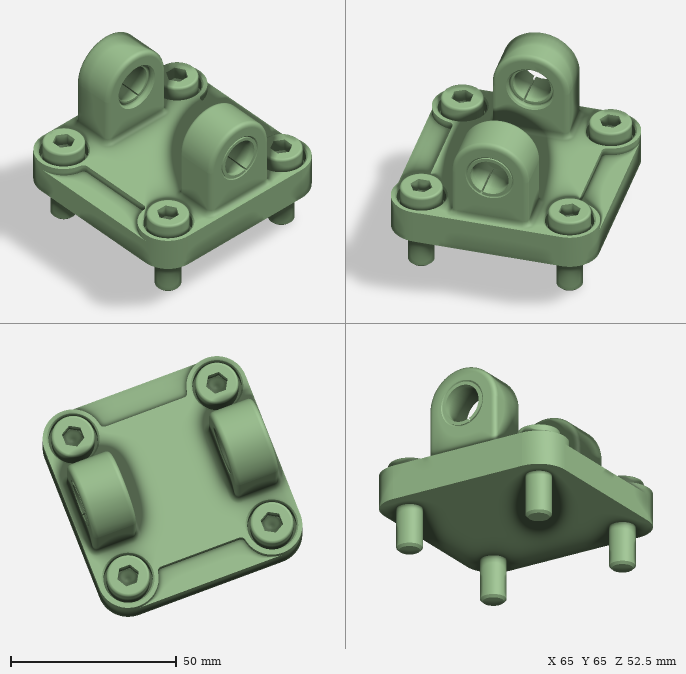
import cadquery as cq
import math

plate_size = 65.0
plate_height = 11.0
corner_radius = 9.2
screw_offset = plate_size / 2 - corner_radius

recess_depth = 2.5
recess_inner_y = 23.4
recess_corner_radius = 1.5

lug_inner_x = 16.0
lug_outer_x = 30.0
lug_radius = 12.0
lug_top_z = 39.0
lug_edge_fillet = 1.5
lug_foot_fillet = 1.5
pin_axis_z = lug_top_z - lug_radius

bushing_inner_radius = 6.0
bushing_outer_radius = 7.0
bushing_length = 12.0
bushing_slit_width = 0.5
bushing_slit_angle = 22.5
mouth_chamfer = 0.5

head_radius = 6.5
head_height = 8.0
head_seat_z = 6.5
head_fillet = 0.8
shank_radius = 4.0
shank_length = 20.0
shank_chamfer = 0.8
socket_flats = 6.0
socket_depth = 4.0
drill_point_angle = 120.0
counterbore_radius = 7.5

screw_places = [
    (side_x * screw_offset, side_y * screw_offset, 90 if side_x == side_y else 0)
    for side_x in (-1, 1)
    for side_y in (-1, 1)
]

X_AXIS = cq.Vector(1, 0, 0)
Z_AXIS = cq.Vector(0, 0, 1)


def cylinder(radius, start, end):
    """Solid cylinder between two points."""
    axis = cq.Vector(*end) - cq.Vector(*start)
    return cq.Workplane(cq.Solid.makeCylinder(radius, axis.Length, cq.Vector(*start), axis))


def mouth_cone(hole_radius, centre, inward):
    """Cutter for the 45 degree chamfer at the mouth of a hole."""
    cone = cq.Solid.makeCone(
        hole_radius + mouth_chamfer, hole_radius, mouth_chamfer, cq.Vector(*centre), inward
    )
    return cq.Workplane(cone)


def edge_recess(side):
    """Cutter for the recess at the side * Y edge, curving around the two screw corners."""
    edge_y = plate_size / 2
    fillet_y = recess_inner_y + recess_corner_radius
    centre_gap = corner_radius + recess_corner_radius
    rise = fillet_y - screw_offset
    fillet_x = screw_offset - math.sqrt(centre_gap**2 - rise**2)
    lean = math.asin(rise / centre_gap)
    tangent_x = screw_offset - corner_radius * math.cos(lean)
    tangent_y = screw_offset + corner_radius * math.sin(lean)
    mid_angle = (lean + math.pi / 2) / 2
    boss_mid_x = screw_offset - corner_radius * math.cos(mid_angle)
    boss_mid_y = screw_offset + corner_radius * math.sin(mid_angle)
    fillet_mid_x = fillet_x + recess_corner_radius * math.cos(mid_angle)
    fillet_mid_y = fillet_y - recess_corner_radius * math.sin(mid_angle)
    return (
        cq.Workplane("XY", origin=(0, 0, plate_height - recess_depth))
        .moveTo(-screw_offset, side * edge_y)
        .threePointArc((-boss_mid_x, side * boss_mid_y), (-tangent_x, side * tangent_y))
        .threePointArc((-fillet_mid_x, side * fillet_mid_y), (-fillet_x, side * recess_inner_y))
        .lineTo(fillet_x, side * recess_inner_y)
        .threePointArc((fillet_mid_x, side * fillet_mid_y), (tangent_x, side * tangent_y))
        .threePointArc((boss_mid_x, side * boss_mid_y), (screw_offset, side * edge_y))
        .close()
        .extrude(recess_depth)
    )


def lug(side):
    """Round-topped lug standing on the plate, on the side * X half."""
    return (
        cq.Workplane("YZ", origin=(side * lug_inner_x, 0, 0))
        .moveTo(-lug_radius, plate_height)
        .lineTo(-lug_radius, pin_axis_z)
        .threePointArc((0, lug_top_z), (lug_radius, pin_axis_z))
        .lineTo(lug_radius, plate_height)
        .close()
        .extrude(side * (lug_outer_x - lug_inner_x))
        .faces("<X or >X")
        .edges("not <Z")
        .fillet(lug_edge_fillet)
    )


def lug_foot_edges(side):
    """Selector for the edges where a lug meets the plate top."""
    margin = 0.05
    near_corner = (side * (lug_inner_x - margin), -lug_radius - margin, plate_height - margin)
    far_corner = (side * (lug_outer_x + margin), lug_radius + margin, plate_height + margin)
    return cq.selectors.BoxSelector(near_corner, far_corner)


def make_housing():
    """Plate and two lugs in one piece, with the bores for bushings and screws."""
    body = (
        cq.Workplane("XY")
        .rect(plate_size, plate_size)
        .extrude(plate_height)
        .edges("|Z")
        .fillet(corner_radius)
    )
    for side in (-1, 1):
        body = body.union(lug(side))
        body = body.edges(lug_foot_edges(side)).fillet(lug_foot_fillet)
    for side in (-1, 1):
        body = body.cut(edge_recess(side))
        inner_face = (side * lug_inner_x, 0, pin_axis_z)
        outer_face = (side * lug_outer_x, 0, pin_axis_z)
        body = body.cut(cylinder(bushing_outer_radius, inner_face, outer_face))
        body = body.cut(mouth_cone(bushing_outer_radius, inner_face, X_AXIS * side))
        body = body.cut(mouth_cone(bushing_outer_radius, outer_face, X_AXIS * -side))
    for x, y, _ in screw_places:
        seat = (x, y, head_seat_z)
        mouth = (x, y, plate_height)
        body = body.cut(cylinder(shank_radius, (x, y, 0), seat))
        body = body.cut(cylinder(counterbore_radius, seat, mouth))
        body = body.cut(mouth_cone(counterbore_radius, mouth, Z_AXIS * -1))
    return body


def make_bushing(side):
    """Thin sleeve in the side * X lug, slit along its whole length."""
    outer_x = side * lug_outer_x
    sleeve = (
        cq.Workplane("YZ", origin=(outer_x, 0, pin_axis_z))
        .circle(bushing_outer_radius)
        .circle(bushing_inner_radius)
        .extrude(-side * bushing_length)
    )
    slit = (
        cq.Workplane("YZ", origin=(outer_x, 0, pin_axis_z))
        .transformed(rotate=(0, 0, bushing_slit_angle))
        .center(0, -bushing_outer_radius)
        .rect(bushing_slit_width, bushing_outer_radius)
        .extrude(-side * bushing_length)
    )
    return sleeve.cut(slit)


def make_screw(x, y, turn):
    """Socket head screw at (x, y), turned about its axis by an angle in degrees."""
    head_top_z = head_seat_z + head_height
    socket_floor_z = head_top_z - socket_depth
    socket_radius = socket_flats / 2
    point_depth = socket_radius / math.tan(math.radians(drill_point_angle / 2))

    head = cylinder(head_radius, (0, 0, head_seat_z), (0, 0, head_top_z))
    head = head.faces(">Z").edges().fillet(head_fillet)
    shank = cylinder(shank_radius, (0, 0, head_seat_z - shank_length), (0, 0, head_seat_z))
    shank = shank.faces("<Z").edges().chamfer(shank_chamfer)
    socket = (
        cq.Workplane("XY", origin=(0, 0, socket_floor_z))
        .polygon(6, socket_flats, circumscribed=True)
        .extrude(socket_depth)
    )
    drill_point = cq.Workplane(
        cq.Solid.makeCone(socket_radius, 0, point_depth, cq.Vector(0, 0, socket_floor_z), Z_AXIS * -1)
    )
    screw = head.union(shank).cut(socket).cut(drill_point)
    return screw.rotate((0, 0, 0), (0, 0, 1), turn).translate((x, y, 0))


housing = make_housing()
bushings = [make_bushing(side) for side in (-1, 1)]
screws = [make_screw(x, y, turn) for x, y, turn in screw_places]

bodies = [housing, *bushings, *screws]
result = cq.Compound.makeCompound([body.val() for body in bodies])